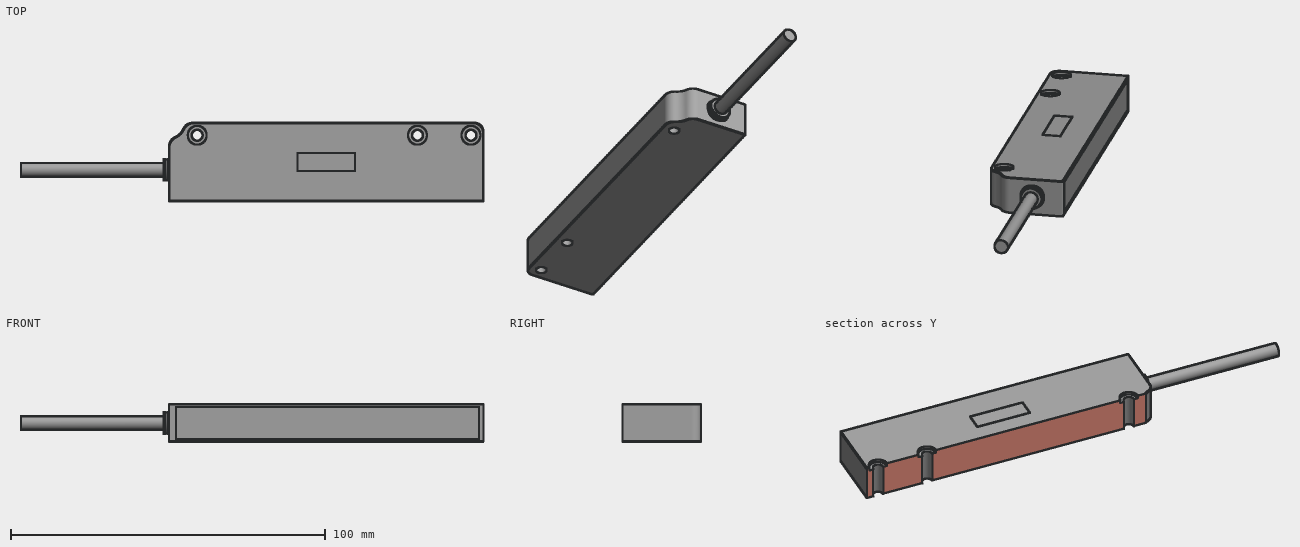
import cadquery as cq
import math

BODY_LENGTH = 100.0
BODY_WIDTH = 25.0
BODY_HEIGHT = 12.0
RIGHT_CORNER_RADIUS = 3.0
SHOULDER_RADIUS = 3.5
SCALLOP_RADIUS = 5.0
FRONT_EDGE_RADIUS = 0.3
RIM_CHAMFER = 0.2

HOLE_DIAMETER = 3.4
COUNTERBORE_DIAMETER = 6.0
COUNTERBORE_DEPTH = 1.0
HOLE_REAR_OFFSET = 4.0
HOLE_X = (9.0, 79.0, 96.0)

RECESS_DEPTH = 0.1
LABEL_LENGTH = 18.2
LABEL_WIDTH = 5.8
LABEL_CENTER_X = BODY_LENGTH / 2
LABEL_CENTER_Y = BODY_WIDTH / 2
PLATE_LEFT_MARGIN = 2.2
PLATE_RIGHT_MARGIN = 1.5
PLATE_EDGE_MARGIN = 0.9

CABLE_DIAMETER = 4.4
COLLAR_DIAMETER = 6.9
COLLAR_LENGTH = 1.7
CABLE_LENGTH = 47.0
GROOVE_DEPTH = 0.1
GROOVE_WIDTH = 0.8
GROOVE_OFFSET = 0.5
CLEARANCE_DIAMETER = 7.6
CLEARANCE_DEPTH = 0.5
CABLE_Y = 10.0
CABLE_Z = BODY_HEIGHT / 2


def make_body():
    """Extruded housing whose rear-left corner is an S-shaped scallop."""
    center_distance = SCALLOP_RADIUS + SHOULDER_RADIUS
    tangent_offset = math.sqrt(center_distance**2 - SHOULDER_RADIUS**2)
    far = tangent_offset * SCALLOP_RADIUS / center_distance
    near = SHOULDER_RADIUS * SCALLOP_RADIUS / center_distance
    scallop_middle = SCALLOP_RADIUS * math.sqrt(0.5)

    half_angle = math.acos(SHOULDER_RADIUS / center_distance) / 2
    arc_along = tangent_offset - SHOULDER_RADIUS * math.sin(half_angle)
    arc_inward = SHOULDER_RADIUS * (1 - math.cos(half_angle))

    def from_corner(x, depth):
        return (x, BODY_WIDTH - depth)

    profile = (
        cq.Workplane("XY")
        .lineTo(BODY_LENGTH, 0)
        .lineTo(BODY_LENGTH, BODY_WIDTH)
        .lineTo(*from_corner(tangent_offset, 0))
        .threePointArc(from_corner(arc_along, arc_inward), from_corner(far, near))
        .threePointArc(from_corner(scallop_middle, scallop_middle), from_corner(near, far))
        .threePointArc(from_corner(arc_inward, arc_along), from_corner(0, tangent_offset))
        .close()
    )
    body = profile.extrude(BODY_HEIGHT)
    body = body.edges("|Z and >X and >Y").fillet(RIGHT_CORNER_RADIUS)
    body = body.edges("|Z and <Y").fillet(FRONT_EDGE_RADIUS)
    return body.faces("<Z or >Z").edges().chamfer(RIM_CHAMFER)


def cut_mounting_holes(body):
    centers = [(x, BODY_WIDTH - HOLE_REAR_OFFSET) for x in HOLE_X]
    return (
        body.faces(">Z")
        .workplane(origin=(0, 0, BODY_HEIGHT))
        .pushPoints(centers)
        .cboreHole(HOLE_DIAMETER, COUNTERBORE_DIAMETER, COUNTERBORE_DEPTH)
    )


def label_recess():
    """Block removed from the top face."""
    return (
        cq.Workplane("XY", origin=(LABEL_CENTER_X, LABEL_CENTER_Y, BODY_HEIGHT))
        .rect(LABEL_LENGTH, LABEL_WIDTH)
        .extrude(-RECESS_DEPTH)
    )


def plate_recess():
    """Block removed from the front face."""
    length = BODY_LENGTH - PLATE_LEFT_MARGIN - PLATE_RIGHT_MARGIN
    height = BODY_HEIGHT - 2 * PLATE_EDGE_MARGIN
    return cq.Workplane("XY").box(length, RECESS_DEPTH, height, centered=False).translate(
        (PLATE_LEFT_MARGIN, 0, PLATE_EDGE_MARGIN)
    )


def cable_disc(diameter, start, end):
    """Cylinder on the cable axis between two X positions."""
    plane = cq.Workplane("YZ", origin=(start, CABLE_Y, CABLE_Z))
    return plane.circle(diameter / 2).extrude(end - start)


def make_cable():
    """Grooved collar, seated in the housing, with the round cable leaving it."""
    collar = cable_disc(COLLAR_DIAMETER, -COLLAR_LENGTH, CLEARANCE_DEPTH)
    groove_start = -GROOVE_OFFSET - GROOVE_WIDTH
    groove_end = -GROOVE_OFFSET
    groove = cable_disc(COLLAR_DIAMETER, groove_start, groove_end).cut(
        cable_disc(COLLAR_DIAMETER - 2 * GROOVE_DEPTH, groove_start, groove_end)
    )
    return collar.cut(groove).union(cable_disc(CABLE_DIAMETER, -CABLE_LENGTH, 0))


housing = cut_mounting_holes(make_body()).cut(label_recess()).cut(plate_recess())
housing = housing.cut(cable_disc(CLEARANCE_DIAMETER, 0, CLEARANCE_DEPTH))
result = housing.union(make_cable())